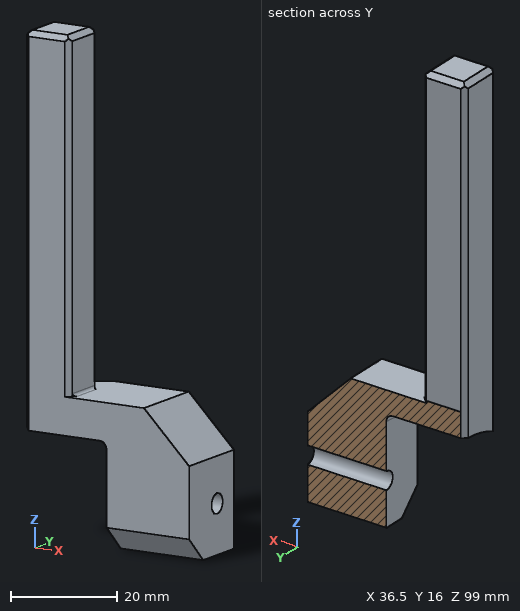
import cadquery as cq
import math

length = 36.5
width = 16.0
height = 99.0

bar_side = 10.0
bar_chamfer = 1.0
bar_top_chamfer = 1.1
bar_root_fillet = 0.6

arm_top = 29.2
block_start = 18.2
shoulder_chamfer = 10.0
toe_chamfer = 5.0

taper_start_x = 2.4
taper_start_y = bar_side - bar_chamfer + taper_start_x
taper_angle = math.radians(30)
taper_end_x = taper_start_x + (width - taper_start_y) / math.tan(taper_angle)

arch_radius = 22.0
arch_top = 24.1
arch_fillet = 1.5

hole_diameter = 4.0
hole_y = 10.0
hole_z = 10.0


def make_arm():
    """Tapered plan outline, with the shoulder and toe corners cut off."""
    outline = [
        (0, bar_chamfer),
        (bar_chamfer, 0),
        (length, 0),
        (length, width),
        (taper_end_x, width),
        (taper_start_x, taper_start_y),
        (0, bar_side - bar_chamfer),
    ]
    arm = cq.Workplane("XY").polyline(outline).close().extrude(arm_top)
    arm = arm.edges(">X and >Z").chamfer(shoulder_chamfer)
    return arm.edges("<Y and <Z").chamfer(toe_chamfer)


def make_root_fillet(plane):
    """Concave strip along one bar face, where it rises from the arm."""
    strip_end = bar_side + bar_root_fillet
    profile = (
        cq.Workplane(plane)
        .moveTo(bar_side, arm_top)
        .lineTo(strip_end, arm_top)
        .radiusArc((bar_side, arm_top + bar_root_fillet), bar_root_fillet)
        .close()
    )
    return profile.extrude(strip_end if plane == "YZ" else -strip_end)


def make_bar():
    """Square bar with a chamfered top, root fillets and 45 degree corner cuts."""
    bar = (
        cq.Workplane("XY", origin=(0, 0, arch_top))
        .rect(bar_side, bar_side, centered=False)
        .extrude(height - arch_top)
        .faces(">Z")
        .chamfer(bar_top_chamfer)
    )
    for plane in ("XZ", "YZ"):
        bar = bar.union(make_root_fillet(plane))

    half_diagonal = bar_side - bar_chamfer
    corner_trim = (
        cq.Workplane("XY", origin=(bar_side / 2, bar_side / 2, 0))
        .polygon(4, 2 * half_diagonal)
        .extrude(height)
    )
    return bar.intersect(corner_trim)


def make_arch_cutter():
    """Cylinder along X with a rounded end against the block."""
    cutter = (
        cq.Workplane("YZ", origin=(0, hole_y, arch_top - arch_radius))
        .circle(arch_radius)
        .extrude(block_start)
    )
    return cutter.faces(">X").edges().fillet(arch_fillet)


def make_hole_cutter():
    """Through hole along X."""
    return cq.Workplane("YZ", origin=(0, hole_y, hole_z)).circle(hole_diameter / 2).extrude(length)


body = make_arm().union(make_bar())
result = body.cut(make_arch_cutter()).cut(make_hole_cutter())